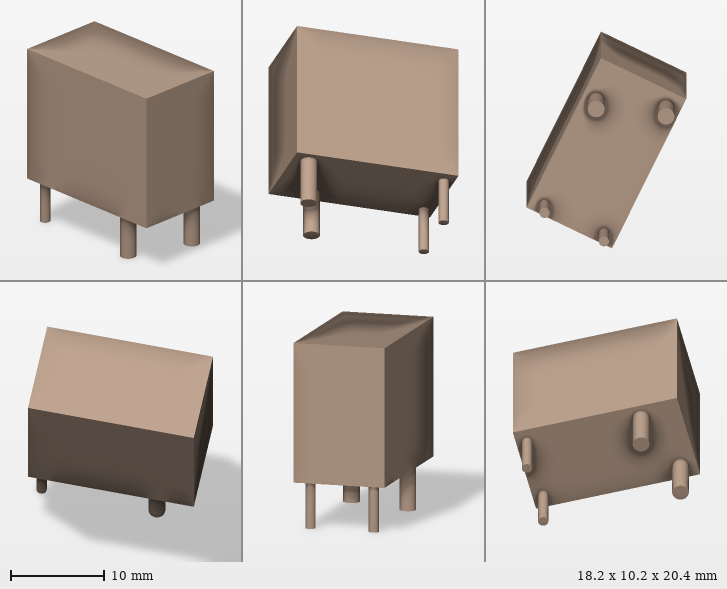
import cadquery as cq

housing_length = 18.2
housing_width = 10.2
total_height = 20.4
pin_length = 5.1
housing_height = total_height - pin_length

row_offset = 3.55
thin_pin_diameter = 1.1
thin_pin_x = -7.92
thick_pin_diameter = 1.8
front_thick_pin_x = 4.73
rear_thick_pin_x = 7.3


def make_housing():
    """Plain block with its underside at Z = 0."""
    return cq.Workplane("XY").box(
        housing_length, housing_width, housing_height, centered=(True, True, False)
    )


def make_pin(diameter, x, y):
    """Round pin running down from the underside of the housing."""
    return cq.Workplane("XY").center(x, y).circle(diameter / 2).extrude(-pin_length)


housing = make_housing()

thin_pins = []
for y in (-row_offset, row_offset):
    thin_pins.append(make_pin(thin_pin_diameter, thin_pin_x, y).val())

thick_pins = []
for x, y in ((front_thick_pin_x, -row_offset), (rear_thick_pin_x, row_offset)):
    thick_pins.append(make_pin(thick_pin_diameter, x, y).val())

result = cq.Compound.makeCompound([housing.val(), *thin_pins, *thick_pins])